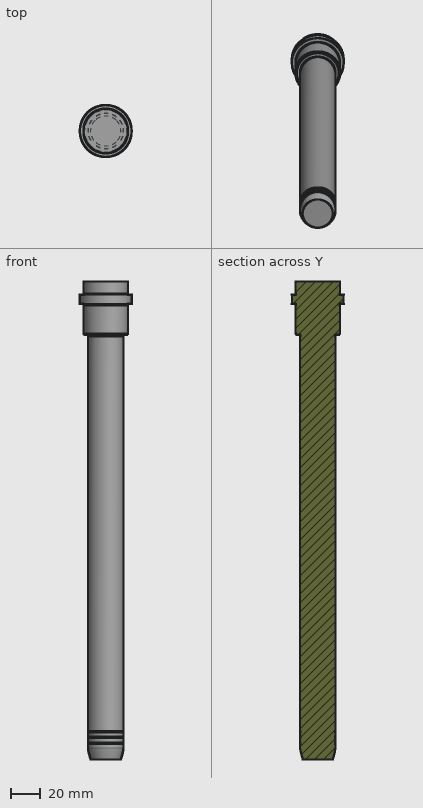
import cadquery as cq

total_length = 321.0
shaft_radius = 24.0 / 2
head_radius = 30.2 / 2
head_length = 36.0
head_chamfer = 1.0

collar_radius = 35.0 / 2
collar_drop = 9.0
collar_thickness = 6.0
relief_width = 1.0
relief_depth = 0.3

tip_radius = 20.2 / 2
tip_length = 7.7
tip_bulge = 0.25

groove_count = 3
groove_pitch = 4.0
groove_width = 1.0
groove_depth = 0.3
first_groove_z = 10.5

head_base_z = total_length - head_length
collar_top_z = total_length - collar_drop
collar_base_z = collar_top_z - collar_thickness


def disc(radius, base_z, height):
    return cq.Workplane("XY").workplane(offset=base_z).circle(radius).extrude(height)


def ring_cut(outer_radius, depth, base_z, width):
    """Ring to remove from a cylinder of the given outer radius."""
    return disc(outer_radius, base_z, width).cut(disc(outer_radius - depth, base_z, width))


def make_shaft():
    """Shaft with a convex rounded tip, revolved about Z."""
    bulge_point = ((shaft_radius + tip_radius) / 2 + tip_bulge, tip_length / 2)
    return (
        cq.Workplane("XZ")
        .lineTo(tip_radius, 0)
        .threePointArc(bulge_point, (shaft_radius, tip_length))
        .lineTo(shaft_radius, head_base_z)
        .lineTo(0, head_base_z)
        .close()
        .revolve(360, (0, 0, 0), (0, 1, 0))
    )


def make_head():
    """Chamfered head with a collar between two narrow relief grooves."""
    head = disc(head_radius, head_base_z, head_length).faces("<Z").chamfer(head_chamfer)
    for relief_z in (collar_top_z, collar_base_z - relief_width):
        head = head.cut(ring_cut(head_radius, relief_depth, relief_z, relief_width))
    return head.union(disc(collar_radius, collar_base_z, collar_thickness))


shaft_relief = ring_cut(shaft_radius, relief_depth, head_base_z - relief_width, relief_width)
shaft = make_shaft().cut(shaft_relief)
for index in range(groove_count):
    groove_z = first_groove_z + index * groove_pitch
    shaft = shaft.cut(ring_cut(shaft_radius, groove_depth, groove_z, groove_width))

result = shaft.union(make_head())